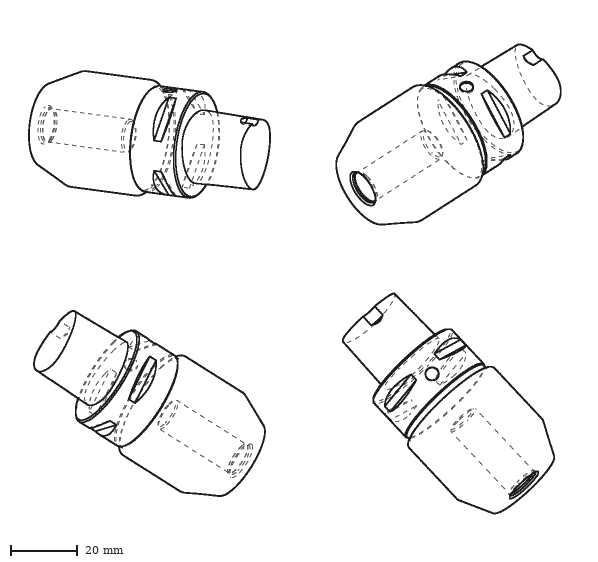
import cadquery as cq
import math

overall_length = 69.0

nose_radius = 12.4
nose_round = 0.75
cone_length = 10.6
cone_round = 1.05
body_diameter = 35.0
body_radius = body_diameter / 2
body_end = 32.0

neck_radius = 31.4 / 2
neck_end = 34.9
collar_radius = 32.0 / 2
collar_front_chamfer = collar_radius - neck_radius
collar_end = 49.95
collar_rear_chamfer = 0.5

groove_count = 4
groove_center = 43.9
groove_floor_width = 2.35
groove_mouth_width = 4.75
groove_floor_distance = 14.15

dimple_center = 40.85
dimple_diameter = 4.0
dimple_wall_depth = 0.7
dimple_tip_angle = 120.0

shank_mean_radius = 11.05
shank_end_mean_radius = 10.55
lobe_count = 3
lobe_height = 0.7
lobe_direction = -90.0
points_per_lobe = 12

key_cutter_radius = 3.05
key_axis_height = 11.65
key_start = 65.35
key_tip_length = 1.85

bore_mouth_radius = 11.65 / 2
bore_entry_radius = 10.5 / 2
bore_entry_depth = 1.25
bore_radius = 10.0 / 2
bore_floor_radius = 9.0 / 2
bore_depth = 27.6


def make_body():
    """Revolve the nose, main body, neck and collar."""
    shoulder_round = (body_radius - neck_radius) / 2
    shoulder_radius = neck_radius + shoulder_round
    shoulder_x = body_end + shoulder_round
    neck_start = shoulder_x + shoulder_round
    diagonal = shoulder_round * math.sqrt(0.5)
    profile = (
        cq.Workplane("XY")
        .lineTo(0, nose_radius)
        .lineTo(cone_length, body_radius)
        .lineTo(body_end, body_radius)
        .threePointArc(
            (body_end + diagonal, shoulder_radius + diagonal),
            (shoulder_x, shoulder_radius),
        )
        .threePointArc(
            (neck_start - diagonal, shoulder_radius - diagonal),
            (neck_start, neck_radius),
        )
        .lineTo(neck_end, neck_radius)
        .lineTo(neck_end + collar_front_chamfer, collar_radius)
        .lineTo(collar_end - collar_rear_chamfer, collar_radius)
        .lineTo(collar_end, collar_radius - collar_rear_chamfer)
        .lineTo(collar_end, 0)
        .close()
    )
    body = profile.revolve(360, (0, 0, 0), (1, 0, 0))
    cone_rim = cq.selectors.BoxSelector(
        (cone_length - 0.1, -body_diameter, -body_diameter),
        (cone_length + 0.1, body_diameter, body_diameter),
        boundingbox=True,
    )
    body = body.edges(cone_rim).fillet(cone_round)
    return body.faces("<X").edges().fillet(nose_round)


def lobed_point(mean_radius, angle):
    """Point whose tangent line lies mean_radius + lobe_height * cos(...) from the axis."""
    phase = lobe_count * (angle - math.radians(lobe_direction))
    distance = mean_radius + lobe_height * math.cos(phase)
    slope = -lobe_count * lobe_height * math.sin(phase)
    y = distance * math.cos(angle) - slope * math.sin(angle)
    z = distance * math.sin(angle) + slope * math.cos(angle)
    return y, z


def lobed_outline(mean_radius):
    count = lobe_count * points_per_lobe
    return [lobed_point(mean_radius, 2 * math.pi * i / count) for i in range(count)]


def make_shank():
    """Loft between the large and small three-lobed sections."""
    return (
        cq.Workplane("YZ", origin=(collar_end, 0, 0))
        .spline(lobed_outline(shank_mean_radius), periodic=True)
        .close()
        .workplane(offset=overall_length - collar_end)
        .spline(lobed_outline(shank_end_mean_radius), periodic=True)
        .close()
        .loft(ruled=True, combine=True)
    )


def make_groove():
    """Straight trapezoidal groove across the top of the collar."""
    groove_depth = collar_radius - groove_floor_distance
    side_slope = (groove_mouth_width - groove_floor_width) / 2 / groove_depth
    cutter_top = body_radius
    half_floor = groove_floor_width / 2
    half_top = half_floor + side_slope * (cutter_top - groove_floor_distance)
    return (
        cq.Workplane("XZ", origin=(groove_center, 0, 0))
        .polyline([
            (-half_floor, groove_floor_distance),
            (half_floor, groove_floor_distance),
            (half_top, cutter_top),
            (-half_top, cutter_top),
        ])
        .close()
        .extrude(collar_radius, both=True)
    )


def make_dimple():
    """Short round wall with a conical floor, entering from +Z."""
    radius = dimple_diameter / 2
    wall_bottom = collar_radius - dimple_wall_depth
    tip = wall_bottom - radius / math.tan(math.radians(dimple_tip_angle / 2))
    return (
        cq.Workplane("XZ", origin=(dimple_center, 0, 0))
        .polyline([(0, tip), (radius, wall_bottom), (radius, body_radius), (0, body_radius)])
        .close()
        .revolve(360, (0, 0, 0), (0, 1, 0))
    )


def make_key_slot():
    """Round-bottomed slot along X with a conical inner end."""
    return (
        cq.Workplane("XZ", origin=(0, 0, key_axis_height))
        .polyline([
            (key_start - key_tip_length, 0),
            (key_start, key_cutter_radius),
            (overall_length, key_cutter_radius),
            (overall_length, 0),
        ])
        .close()
        .revolve(360, (0, 0, 0), (1, 0, 0))
    )


def make_bore():
    """Stepped blind bore with a chamfered mouth and a bevelled floor edge."""
    mouth_chamfer = bore_mouth_radius - bore_entry_radius
    floor_bevel = bore_radius - bore_floor_radius
    return (
        cq.Workplane("XY")
        .polyline([
            (0, 0),
            (0, bore_mouth_radius),
            (mouth_chamfer, bore_entry_radius),
            (bore_entry_depth, bore_entry_radius),
            (bore_entry_depth, bore_radius),
            (bore_depth - floor_bevel, bore_radius),
            (bore_depth, bore_floor_radius),
            (bore_depth, 0),
        ])
        .close()
        .revolve(360, (0, 0, 0), (1, 0, 0))
    )


result = make_body().union(make_shank())
for index in range(groove_count):
    groove_angle = 360 / groove_count * (index + 0.5)
    result = result.cut(make_groove().rotate((0, 0, 0), (1, 0, 0), groove_angle))
result = result.cut(make_dimple()).cut(make_key_slot()).cut(make_bore())